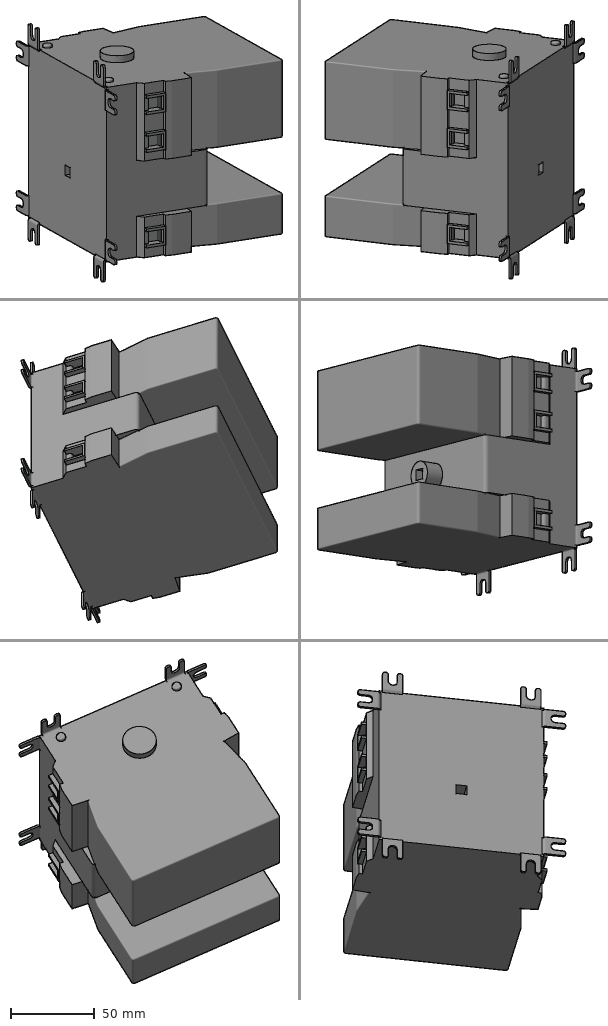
import cadquery as cq
import math

body_half_width = 49.9
body_half_height = 54.5
body_depth = 119.2

gap_top = 6.0
gap_bottom = -29.0
gap_floor_y = 68.8
gap_corner_radius = 2.5

casing_front_y = 54.9
taper_start_y = 74.5
taper_end_half_width = 46.1
back_corner_radius = 1.8
casing_edge_radius = 0.8

terminal_half_width = 56.2
terminal_back_y = 53.8
groove_start_y = 41.0
groove_depth = 0.7
pad_back_y = 36.7
pad_front_y = 23.7
pad_base_half_width = 53.3
terminal_foot_y = 20.3

pad_pitch = 23.6
pad_center_z = 41.6
pad_height = 11.8
window_height = 8.4
window_back_y = 35.2
pocket_back_y = 34.3
pocket_front_y = 27.5
pocket_floor_half_width = 50.5
pocket_lip_radius = 2.0

shaft_z = -11.7
shaft_radius = 8.0
shaft_end_y = 80.2
bore_side = 6.4

cap_radius = 10.0
cap_height = 4.3
cap_y = 33.5
screw_radius = 2.8
screw_height = 1.6
screw_edge_radius = 0.8
screw_x = 39.0
screw_y = 7.2

sheet_thickness = 1.4
bend_inner_radius = 1.1
bend_ramp_run = 1.2
bend_ramp_angle = 40
bracket_front_y = -1.2
bracket_width = 12.3
fork_slot_width = 5.4
fork_slot_depth = 9.0
fork_tip_radius = 1.6
side_bracket_reach = 13.1
end_bracket_reach = 13.3
side_bracket_z = 46.8
end_bracket_x = 41.9


def block(x0, x1, y0, y1, z0, z1):
    """Box given by its limits along each axis."""
    return cq.Workplane("XY").box(x1 - x0, y1 - y0, z1 - z0, centered=False).translate((x0, y0, z0))


def prism(outline, z0, z1):
    """Closed XY outline extruded from z0 to z1."""
    return cq.Workplane("XY").workplane(offset=z0).polyline(outline).close().extrude(z1 - z0)


def both_sides(left):
    """A left-hand feature together with its mirror image on the right."""
    return left.union(left.mirror("YZ"))


def rear_block(z0, z1):
    """Tapered rear block with rounded back corners and rounded upper and lower rims."""
    outline = [
        (-taper_end_half_width, casing_front_y),
        (-body_half_width, taper_start_y),
        (-body_half_width, body_depth),
        (body_half_width, body_depth),
        (body_half_width, taper_start_y),
        (taper_end_half_width, casing_front_y),
    ]
    solid = prism(outline, z0, z1).edges("|Z and >Y").fillet(back_corner_radius)
    rims = solid.faces("<Z or >Z").edges("not <Y")
    return rims.fillet(casing_edge_radius)


def middle_collar(z0, z1):
    """Sharp-edged filling that follows the taper where the middle body meets the rear blocks."""
    slope = (body_half_width - taper_end_half_width) / (taper_start_y - casing_front_y)
    back_y = gap_floor_y - casing_edge_radius
    back_half_width = taper_end_half_width + slope * (back_y - casing_front_y)
    outline = [
        (-taper_end_half_width, casing_front_y),
        (-back_half_width, back_y),
        (back_half_width, back_y),
        (taper_end_half_width, casing_front_y),
    ]
    return prism(outline, z0, z1)


def terminal_block(z0, z1):
    """Left terminal block: slanted back, shallow sloping groove, recessed pad wall, chamfered foot."""
    outline = [
        (0, casing_front_y),
        (-taper_end_half_width, casing_front_y),
        (-terminal_half_width, terminal_back_y),
        (-terminal_half_width, groove_start_y),
        (-terminal_half_width + groove_depth, pad_back_y),
        (-pad_base_half_width, pad_back_y),
        (-pad_base_half_width, pad_front_y),
        (-body_half_width, terminal_foot_y),
        (0, terminal_foot_y),
    ]
    return prism(outline, z0, z1)


def contact_pad(z):
    """Left contact pad standing on the recessed wall."""
    return block(
        -terminal_half_width, -body_half_width, pad_front_y, pad_back_y, z - pad_height / 2, z + pad_height / 2
    )


def contact_window(z):
    """Cutter for a pad window open to the front, with a deeper pocket entered over a rounded lip."""
    z0 = z - window_height / 2
    lip_center_y = pocket_front_y - pocket_lip_radius
    lip_bottom_half_width = pad_base_half_width - pocket_lip_radius
    lip_mid = pocket_lip_radius * 0.5 ** 0.5
    return (
        cq.Workplane("XY")
        .workplane(offset=z0)
        .moveTo(-terminal_half_width, pad_front_y)
        .lineTo(-terminal_half_width, window_back_y)
        .lineTo(-pad_base_half_width, window_back_y)
        .lineTo(-pad_base_half_width, pocket_back_y)
        .lineTo(-pocket_floor_half_width, pocket_back_y)
        .lineTo(-pocket_floor_half_width, pocket_front_y)
        .lineTo(-lip_bottom_half_width, pocket_front_y)
        .threePointArc(
            (-lip_bottom_half_width - lip_mid, lip_center_y + lip_mid), (-pad_base_half_width, lip_center_y)
        )
        .lineTo(-pad_base_half_width, pad_front_y)
        .close()
        .extrude(window_height)
    )


def bracket(reach):
    """Bracket at the origin: plate reaching along +X, width along Z, bent towards +Y at the wall x = 0."""
    plate_back_y = bracket_front_y + sheet_thickness
    bend_y = plate_back_y + bend_inner_radius
    bend_x = bend_inner_radius
    ramp_angle = math.radians(bend_ramp_angle)
    ramp_rise = bend_ramp_run * math.tan(ramp_angle)
    outer_arc_run = bend_x + sheet_thickness - bend_ramp_run
    outer_arc_rise = outer_arc_run * math.tan(ramp_angle / 2)
    inner_mid = bend_inner_radius * 0.5 ** 0.5
    sheet = (
        cq.Workplane("XY")
        .workplane(offset=-bracket_width / 2)
        .moveTo(-sheet_thickness, bend_y)
        .lineTo(-sheet_thickness, bracket_front_y + outer_arc_rise + ramp_rise)
        .line(bend_ramp_run, -ramp_rise)
        .tangentArcPoint((bend_x, bracket_front_y), relative=False)
        .lineTo(reach, bracket_front_y)
        .lineTo(reach, plate_back_y)
        .lineTo(bend_x, plate_back_y)
        .threePointArc((bend_x - inner_mid, bend_y - inner_mid), (0, bend_y))
        .close()
        .extrude(bracket_width)
    )
    slot_radius = fork_slot_width / 2
    slot_center_x = reach - fork_slot_depth + slot_radius
    slot = (
        cq.Workplane("XZ", origin=(0, plate_back_y, 0))
        .moveTo(reach, -slot_radius)
        .lineTo(slot_center_x, -slot_radius)
        .threePointArc((slot_center_x - slot_radius, 0), (slot_center_x, slot_radius))
        .lineTo(reach, slot_radius)
        .close()
        .extrude(sheet_thickness)
    )
    return sheet.cut(slot).edges("|Y and >X").fillet(fork_tip_radius)


def turned(shape, angle):
    """Shape rotated about the Y axis."""
    return shape.rotate((0, 0, 0), (0, 1, 0), angle)


result = block(
    -body_half_width, body_half_width, 0, terminal_back_y, -body_half_height, body_half_height
)
middle = block(-body_half_width, body_half_width, 0, gap_floor_y, gap_bottom, gap_top)
result = result.union(middle.edges("|Z and >Y").fillet(gap_corner_radius))
result = result.union(middle_collar(gap_bottom - casing_edge_radius, gap_top + casing_edge_radius))

for z0, z1 in ((-body_half_height, gap_bottom), (gap_top, body_half_height)):
    result = result.union(rear_block(z0, z1))
    result = result.union(both_sides(terminal_block(z0, z1)))

for z in (-pad_center_z, pad_center_z - pad_pitch, pad_center_z):
    result = result.union(both_sides(contact_pad(z)))
    result = result.cut(both_sides(contact_window(z)))

shaft = cq.Workplane("XZ", origin=(0, shaft_end_y, shaft_z)).circle(shaft_radius).extrude(shaft_end_y / 2)
bore = cq.Workplane("XZ", origin=(0, body_depth, shaft_z)).rect(bore_side, bore_side).extrude(body_depth)
result = result.union(shaft).cut(bore)

top = cq.Workplane("XY", origin=(0, 0, body_half_height))
result = result.union(top.center(0, cap_y).circle(cap_radius).extrude(cap_height))
screw = top.center(-screw_x, screw_y).circle(screw_radius).extrude(screw_height)
result = result.union(both_sides(screw.faces(">Z").edges().fillet(screw_edge_radius)))

side_bracket = bracket(side_bracket_reach)
end_bracket = bracket(end_bracket_reach)
for sign in (-1, 1):
    for side_angle, side in ((0, 1), (180, -1)):
        place = (side * body_half_width, 0, sign * side_bracket_z)
        result = result.union(turned(side_bracket, side_angle).translate(place))
    for end_angle, end in ((-90, 1), (90, -1)):
        place = (sign * end_bracket_x, 0, end * body_half_height)
        result = result.union(turned(end_bracket, end_angle).translate(place))